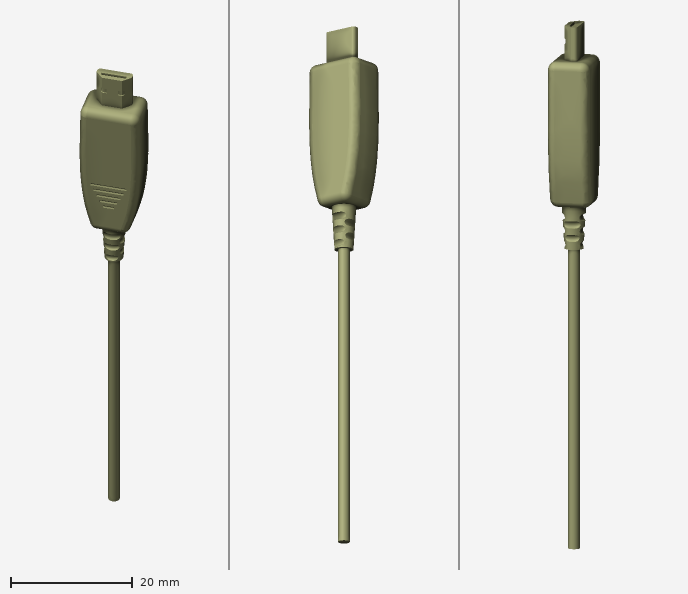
import cadquery as cq

PLUG_TOP = 87.6
CORE_BOTTOM = 82.8
HOUSING_TOP = 81.9
HOUSING_BOTTOM = 57.4
BOOT_BOTTOM = 50.1

HOUSING_DEPTH = 7.0
HOUSING_TOP_WIDTH = 10.2
WIDEST_WIDTH = 10.4
WIDEST_HEIGHT = 72.7
SHOULDER_WIDTH = 9.2
SHOULDER_HEIGHT = 63.3
HOUSING_BOTTOM_WIDTH = 6.1
HOUSING_ROUNDING = 1.3

GRIP_COUNT = 5
GRIP_TOP = 67.0
GRIP_PITCH = 1.05
GRIP_HEIGHT = 0.4
GRIP_DEPTH = 0.13
GRIP_LONGEST = 6.1
GRIP_SHORTENING = 1.05

BOOT_TOP_RADIUS = 2.0
BOOT_BOTTOM_RADIUS = 1.6
NOTCH_COUNT = 5
NOTCH_TOP = 55.4
NOTCH_PITCH = 1.1
NOTCH_RADIUS = 0.6
NOTCH_FLOOR = 1.2

CABLE_RADIUS = 1.0

SHELL_WIDTH = 6.0
SHELL_DEPTH = 2.4
SHELL_CORNER_CUT = 1.3
SHELL_ROUNDING = 0.5
SHELL_WALL = 0.2
LATCH_WIDTH = 1.05
LATCH_HEIGHT = 0.9
LATCH_OFFSET = 1.5
LATCH_LEVEL = 84.9

SLOT_WIDTH = 4.3
SLOT_THICKNESS = 0.5
SLOT_Y = -0.13


def make_housing_block():
    half_top = HOUSING_TOP_WIDTH / 2
    half_bottom = HOUSING_BOTTOM_WIDTH / 2
    right_side = [
        (half_top, HOUSING_TOP),
        (WIDEST_WIDTH / 2, WIDEST_HEIGHT),
        (SHOULDER_WIDTH / 2, SHOULDER_HEIGHT),
        (half_bottom, HOUSING_BOTTOM),
    ]
    left_side = [(-x, z) for x, z in reversed(right_side)]
    outline = (
        cq.Workplane("XZ", origin=(0, HOUSING_DEPTH / 2, 0))
        .moveTo(-half_top, HOUSING_TOP)
        .lineTo(half_top, HOUSING_TOP)
        .spline(right_side[1:], includeCurrent=True)
        .lineTo(-half_bottom, HOUSING_BOTTOM)
        .spline(left_side[1:], includeCurrent=True)
        .close()
    )
    return outline.extrude(HOUSING_DEPTH).edges().fillet(HOUSING_ROUNDING)


def make_grip_groove(length, height):
    front = -HOUSING_DEPTH / 2
    return (
        cq.Workplane("YZ", origin=(-length / 2, 0, 0))
        .moveTo(front, height + GRIP_HEIGHT / 2)
        .lineTo(front + GRIP_DEPTH, height)
        .lineTo(front, height - GRIP_HEIGHT / 2)
        .close()
        .extrude(length)
    )


def make_notch(height, side, turn):
    length = 4 * BOOT_TOP_RADIUS
    axis_distance = NOTCH_FLOOR + NOTCH_RADIUS
    return (
        cq.Workplane("YZ", origin=(-length / 2, 0, 0))
        .center(side * axis_distance, height)
        .circle(NOTCH_RADIUS)
        .extrude(length)
        .rotate((0, 0, 0), (0, 0, 1), turn)
    )


def make_boot():
    boot = (
        cq.Workplane("XZ")
        .moveTo(0, BOOT_BOTTOM)
        .lineTo(-BOOT_BOTTOM_RADIUS, BOOT_BOTTOM)
        .lineTo(-BOOT_TOP_RADIUS, HOUSING_BOTTOM)
        .lineTo(0, HOUSING_BOTTOM)
        .close()
        .revolve(360, (0, 0, 0), (0, 1, 0))
    )
    for i in range(NOTCH_COUNT):
        for side in (-1, 1):
            boot = boot.cut(make_notch(NOTCH_TOP - i * NOTCH_PITCH, side, 90 * (i % 2)))
    return boot


def make_housing():
    housing = make_housing_block().union(make_boot())
    for i in range(GRIP_COUNT):
        length = GRIP_LONGEST - i * GRIP_SHORTENING
        housing = housing.cut(make_grip_groove(length, GRIP_TOP - i * GRIP_PITCH))
    return housing


def make_cable():
    return cq.Workplane("XY").circle(CABLE_RADIUS).extrude(BOOT_BOTTOM)


def make_plug_prism(bottom):
    return (
        cq.Workplane("XY", origin=(0, 0, bottom))
        .rect(SHELL_WIDTH, SHELL_DEPTH)
        .extrude(PLUG_TOP - bottom)
        .edges("|Z and <Y")
        .chamfer(SHELL_CORNER_CUT)
        .edges("|Z and >Y")
        .fillet(SHELL_ROUNDING)
    )


def make_cavity():
    shell_outline = make_plug_prism(CORE_BOTTOM).faces("<Z").val().outerWire()
    cavity_outline = shell_outline.offset2D(-SHELL_WALL)
    return cq.Workplane().newObject(cavity_outline).toPending().extrude(PLUG_TOP - CORE_BOTTOM)


def make_latch_hole(side):
    hole = cq.Workplane("XY").box(LATCH_WIDTH, SHELL_DEPTH, LATCH_HEIGHT)
    return hole.translate((side * LATCH_OFFSET, -SHELL_DEPTH / 2, LATCH_LEVEL))


def make_shell():
    shell = make_plug_prism(HOUSING_TOP).cut(make_cavity())
    for side in (-1, 1):
        shell = shell.cut(make_latch_hole(side))
    return shell


def make_core():
    slot = (
        cq.Workplane("XY", origin=(0, SLOT_Y, CORE_BOTTOM))
        .rect(SLOT_WIDTH, SLOT_THICKNESS)
        .extrude(PLUG_TOP - CORE_BOTTOM)
    )
    return make_cavity().cut(slot)


housing = make_housing()
cable = make_cable()
shell = make_shell()
core = make_core()

result = cq.Compound.makeCompound([
    housing.solids().val(),
    cable.solids().val(),
    shell.solids().val(),
    core.solids().val(),
])